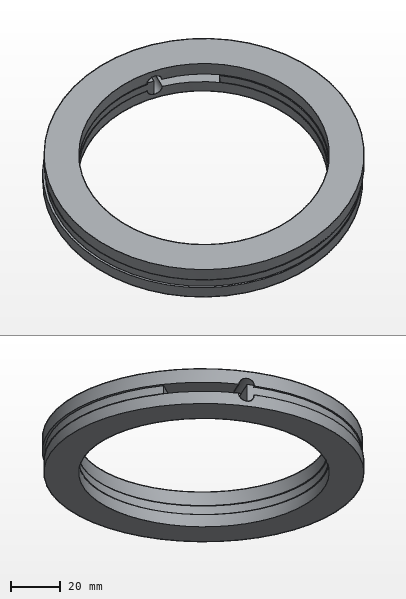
import cadquery as cq
import math

LOWER_HEIGHT = 5.4
SPACER_HEIGHT = 3.7
UPPER_HEIGHT = 6.0
SPACER_BOTTOM = LOWER_HEIGHT
UPPER_BOTTOM = SPACER_BOTTOM + SPACER_HEIGHT

RING_RADIUS = 64.0
BORE_RADIUS = 50.1
SPACER_RADIUS = 63.3
OFFSET_X = 0.19
OFFSET_Y = 0.4
LOWER_CENTRE = (OFFSET_X, -OFFSET_Y)
UPPER_CENTRE = (-OFFSET_X, OFFSET_Y)
SPACER_CENTRE = (OFFSET_X, 0)

GAP_ANGLE = 30.0

GROOVE_RADIUS = 3.2
GROOVE_Y = -0.3
UPPER_GROOVE_DROP = 0.3
KEY_END_Y = -0.6
KEY_RISE = 0.8


def ring(centre, bottom, height, outer_radius):
    """Plain flat ring with a vertical axis."""
    return (
        cq.Workplane("XY", origin=(*centre, bottom))
        .circle(outer_radius)
        .circle(BORE_RADIUS)
        .extrude(height)
    )


def radial_cylinder(axis_z):
    """Cylinder along -X that passes through the ring wall."""
    return (
        cq.Workplane("YZ", origin=(0, GROOVE_Y, axis_z))
        .circle(GROOVE_RADIUS)
        .extrude(-2 * RING_RADIUS)
    )


def gap_cutter():
    """Wedge from the end face at the key round to the radial end face."""
    reach = 2 * RING_RADIUS
    angle = math.radians(GAP_ANGLE)
    far_corner = (-reach * math.cos(angle), reach * math.sin(angle))
    return (
        cq.Workplane("XY", origin=(SPACER_CENTRE[0], 0, SPACER_BOTTOM))
        .polyline([(0, KEY_END_Y), (-reach, KEY_END_Y), far_corner, (0, 0)])
        .close()
        .extrude(SPACER_HEIGHT)
    )


def key():
    """Half-round foot with a low flat top, on the end of the spacer ring."""
    foot_bottom = SPACER_BOTTOM - GROOVE_RADIUS
    key_height = GROOVE_RADIUS + SPACER_HEIGHT + KEY_RISE
    envelope = ring(SPACER_CENTRE, foot_bottom, key_height, SPACER_RADIUS)
    half_space = (
        cq.Workplane("XY", origin=(0, KEY_END_Y, foot_bottom))
        .rect(-2 * RING_RADIUS, -2 * GROOVE_RADIUS, centered=False)
        .extrude(key_height)
    )
    foot = radial_cylinder(SPACER_BOTTOM)
    head = radial_cylinder(UPPER_BOTTOM - UPPER_GROOVE_DROP)
    return foot.union(head).intersect(envelope).intersect(half_space)


lower_ring = ring(LOWER_CENTRE, 0, LOWER_HEIGHT, RING_RADIUS).cut(radial_cylinder(SPACER_BOTTOM))

upper_ring = ring(UPPER_CENTRE, UPPER_BOTTOM, UPPER_HEIGHT, RING_RADIUS).cut(
    radial_cylinder(UPPER_BOTTOM - UPPER_GROOVE_DROP)
)

spacer_ring = (
    ring(SPACER_CENTRE, SPACER_BOTTOM, SPACER_HEIGHT, SPACER_RADIUS)
    .cut(gap_cutter())
    .union(key())
)

result = cq.Compound.makeCompound([lower_ring.val(), spacer_ring.val(), upper_ring.val()])